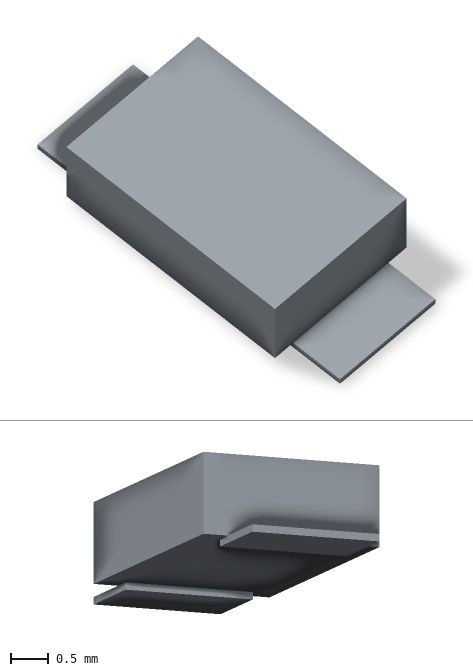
import cadquery as cq

overall_length = 5.52
overall_height = 1.2

terminal_length = 1.12
terminal_width = 1.81
terminal_thickness = 0.1

housing_length = 3.81
housing_width = 2.5
housing_height = overall_height - terminal_thickness


def make_housing():
    """Block centred in X and Y, its underside on top of the terminals."""
    return (
        cq.Workplane("XY")
        .workplane(offset=terminal_thickness)
        .box(housing_length, housing_width, housing_height, centered=(True, True, False))
    )


def make_terminal(side):
    """Strip with its outer end at the -X (side = -1) or +X (side = 1) limit."""
    center_x = side * (overall_length - terminal_length) / 2
    return (
        cq.Workplane("XY")
        .center(center_x, 0)
        .box(terminal_length, terminal_width, terminal_thickness, centered=(True, True, False))
    )


housing = make_housing()
terminals = [make_terminal(side) for side in (-1, 1)]

result = cq.Compound.makeCompound([housing.val(), *[terminal.val() for terminal in terminals]])